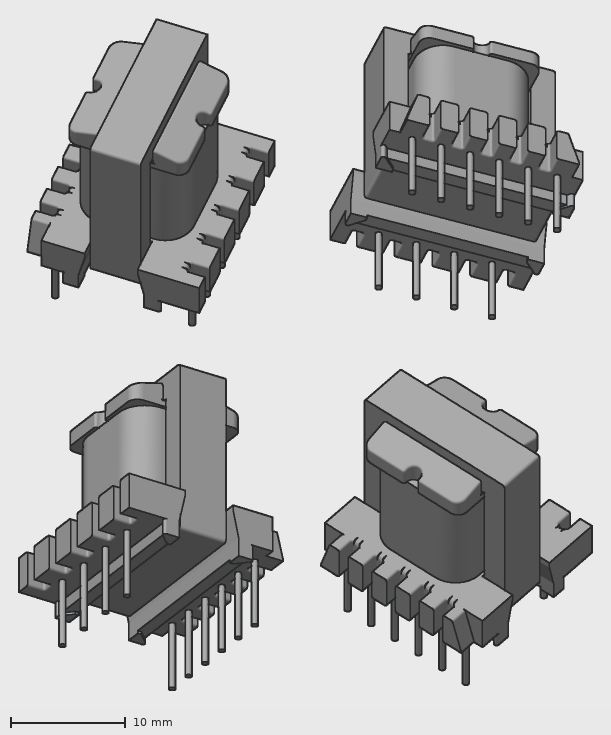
import cadquery as cq
import math

core_thickness = 4.74
core_width = 16.0
core_bottom = 6.58
core_top = 23.0
core_yoke = 2.48
core_edge_radius = 0.3
window_half_width = 5.68
leg_width = core_thickness

base_length = 16.5
base_width = 18.0
base_bottom = 6.45
base_top = 9.85
wall_x = 2.48
wall_foot_x = 3.05
taper_bottom = 6.72
flange_bottom = 9.25

comb_root_x = 6.53
comb_width = 16.0
comb_top_width = 14.03
comb_lip = 0.23

slot_width = 1.01
slot_corner_radius = 0.2
slot_edge_radius = 0.23
ramp_width = slot_width - 2 * slot_corner_radius
ramp_radius = 0.5
left_slot_count = 5
left_row_span = 13.5
left_pitch = left_row_span / left_slot_count
right_slot_count = 5
right_pitch = 3.52
pin_diameter = 0.6
pin_x = 6.12

skirt_x = 4.28
skirt_bottom = 5.25
foot_x = 4.6
foot_bottom = 4.97
foot_length = 1.52
foot_nose_radius = 0.23

coil_size = 10.49
coil_radius = 2.71
cap_length = 11.18
cap_width = 11.13
cap_bottom = 19.83
cap_apex = 22.22
cap_slope = 15.0
cap_corner_radius = 1.0
cap_edge_radius = 0.23
cap_bridge_top = 20.45
notch_radius = 0.74
notch_depth = 1.08

overlap = 0.23


def box(x_range, y_range, z_range):
    """Axis-aligned box from three (low, high) pairs."""
    lows, highs = zip(x_range, y_range, z_range)
    sizes = [high - low for low, high in zip(lows, highs)]
    return cq.Workplane("XY").box(*sizes, centered=False).translate(lows)


def centered_range(size):
    return (-size / 2, size / 2)


def evenly_spaced(count, pitch):
    return [(i - (count - 1) / 2) * pitch for i in range(count)]


def make_core():
    frame = box(centered_range(core_thickness), centered_range(core_width), (core_bottom, core_top))
    frame = frame.edges("|X").fillet(core_edge_radius)
    window_z = (core_bottom + core_yoke, core_top - core_yoke)
    for y_range in ((leg_width / 2, window_half_width), (-window_half_width, -leg_width / 2)):
        frame = frame.cut(box(centered_range(core_thickness), y_range, window_z))
    return frame


def make_terminal_block(outer_x):
    """Block on the +X side, with the tapered inner wall, reaching out to outer_x."""
    outline = [
        (wall_x, base_top),
        (outer_x, base_top),
        (outer_x, base_bottom),
        (wall_foot_x, base_bottom),
        (wall_foot_x, taper_bottom),
        (wall_x, flange_bottom),
    ]
    return cq.Workplane("XZ").polyline(outline).close().extrude(base_width / 2, both=True)


def make_comb():
    """Outer strip on the +X side whose ends slope inward towards the top."""
    outline = [
        (-comb_width / 2, base_bottom),
        (comb_width / 2, base_bottom),
        (comb_width / 2, base_bottom + comb_lip),
        (comb_top_width / 2, base_top),
        (-comb_top_width / 2, base_top),
        (-comb_width / 2, base_bottom + comb_lip),
    ]
    root = comb_root_x - overlap
    strip = cq.Workplane("YZ", origin=(root, 0, 0)).polyline(outline).close()
    strip = strip.extrude(base_length / 2 - root)
    top_ends = cq.selectors.BoxSelector(
        (root, -comb_width, base_top - slot_edge_radius / 2),
        (base_length / 2, comb_width, base_top + slot_edge_radius / 2),
    )
    return strip.edges("|X").edges(top_ends).fillet(slot_edge_radius)


def cut_wire_slots(block, slot_ys):
    """Open rounded-edge slots through the +X edge, each with a rounded ramp at its inner end."""
    outer = base_length / 2
    for y in slot_ys:
        slot_y = (y - slot_width / 2, y + slot_width / 2)
        slot = box((comb_root_x, outer + overlap), slot_y, (base_bottom, base_top))
        block = block.cut(slot.edges("|Z and <X").fillet(slot_corner_radius))

    margin = slot_edge_radius / 2
    for z in (base_bottom, base_top):
        for y in slot_ys:
            rim = cq.selectors.BoxSelector(
                (comb_root_x - margin, y - slot_width / 2 - margin, z - margin),
                (outer - margin, y + slot_width / 2 + margin, z + margin),
            )
            block = block.edges(rim).fillet(slot_edge_radius)

    ramp_low_z = base_top - ramp_radius
    ramp_start_x = comb_root_x - ramp_radius
    arc_offset = ramp_radius * math.sqrt(0.5)
    ramp = (
        cq.Workplane("XZ")
        .moveTo(ramp_start_x, base_top)
        .threePointArc((ramp_start_x + arc_offset, ramp_low_z + arc_offset), (comb_root_x, ramp_low_z))
        .lineTo(comb_root_x + overlap, ramp_low_z)
        .lineTo(comb_root_x + overlap, base_top)
        .close()
        .extrude(ramp_width / 2, both=True)
    )
    for y in slot_ys:
        block = block.cut(ramp.translate((0, y, 0)))
    return block


def make_foot():
    """Foot at the +X, +Y corner: its outer face runs inward at 45 degrees from a rounded nose."""
    end_y = base_width / 2
    inner_y = end_y - foot_length
    sharp_nose_x = foot_x + foot_nose_radius * math.sqrt(2)
    outline = [
        (wall_foot_x, end_y),
        (sharp_nose_x, end_y),
        (sharp_nose_x - foot_length, inner_y),
        (wall_foot_x, inner_y),
    ]
    foot = cq.Workplane("XY", origin=(0, 0, foot_bottom)).polyline(outline).close()
    foot = foot.extrude(base_bottom + overlap - foot_bottom)
    return foot.edges("|Z and >X").fillet(foot_nose_radius)


def make_supports():
    """Skirt with a foot at each end, on the +X side."""
    skirt_y = centered_range(base_width - 2 * foot_nose_radius)
    skirt = box((wall_foot_x, skirt_x), skirt_y, (skirt_bottom, base_bottom + overlap))
    foot = make_foot()
    return skirt.union(foot).union(foot.mirror("XZ"))


def make_pins(pin_ys):
    spots = [(pin_x, y) for y in pin_ys]
    return cq.Workplane("XY").pushPoints(spots).circle(pin_diameter / 2).extrude(base_bottom + overlap)


def make_left_half():
    block = make_terminal_block(comb_root_x).union(make_comb())
    block = cut_wire_slots(block, evenly_spaced(left_slot_count, left_pitch))
    pins = make_pins(evenly_spaced(left_slot_count + 1, left_pitch))
    return block.union(make_supports()).union(pins).mirror("YZ")


def make_right_half():
    block = make_terminal_block(base_length / 2)
    block = cut_wire_slots(block, evenly_spaced(right_slot_count, right_pitch))
    pins = make_pins(evenly_spaced(right_slot_count - 1, right_pitch))
    return block.union(make_supports()).union(pins)


def make_coil():
    coil = box(centered_range(coil_size), centered_range(coil_size), (flange_bottom, cap_bottom))
    return coil.edges("|Z").fillet(coil_radius)


def make_cap():
    """Sloping, notched half of the upper flange on the +X side."""
    outer = cap_length / 2
    drop = (outer - wall_x) * math.tan(math.radians(cap_slope))
    outline = [
        (wall_x, cap_bottom),
        (outer, cap_bottom),
        (outer, cap_apex - drop),
        (wall_x, cap_apex),
    ]
    cap = cq.Workplane("XZ").polyline(outline).close().extrude(cap_width / 2, both=True)
    cap = cap.edges("|Z and >X").fillet(cap_corner_radius)

    notch_center = outer - notch_depth + notch_radius
    notch = cq.Workplane("XY", origin=(0, 0, cap_bottom)).center(notch_center, 0).circle(notch_radius)
    notch = notch.extrude(cap_apex - cap_bottom)
    notch_z = (cap_bottom, cap_apex)
    notch = notch.union(box((notch_center, outer), centered_range(2 * notch_radius), notch_z))
    cap = cap.cut(notch)

    mouth = cq.selectors.BoxSelector(
        (outer - overlap, -notch_radius - overlap, cap_bottom),
        (outer + overlap, notch_radius + overlap, cap_apex),
    )
    cap = cap.edges("|Z").edges(mouth).fillet(cap_edge_radius)
    cap = cap.edges("|Z and <X").fillet(cap_edge_radius)
    return cap.faces(">Z").edges().fillet(cap_edge_radius)


def make_window_plate(z_range):
    """Flange plate that crosses the core windows between the two sides."""
    length = 2 * (wall_x + overlap)
    return box(centered_range(length), centered_range(cap_width), z_range)


def make_bobbin():
    cap = make_cap()
    parts = [
        make_left_half(),
        make_right_half(),
        make_window_plate((flange_bottom, base_top)),
        make_window_plate((cap_bottom, cap_bridge_top)),
        cap,
        cap.mirror("YZ"),
    ]
    bobbin = make_coil()
    for part in parts:
        bobbin = bobbin.union(part)
    leg_hole = box(
        centered_range(core_thickness),
        centered_range(leg_width),
        (core_bottom, core_top),
    )
    return bobbin.cut(leg_hole)


core = make_core()
bobbin = make_bobbin()

result = cq.Compound.makeCompound([core.val(), *bobbin.vals()])